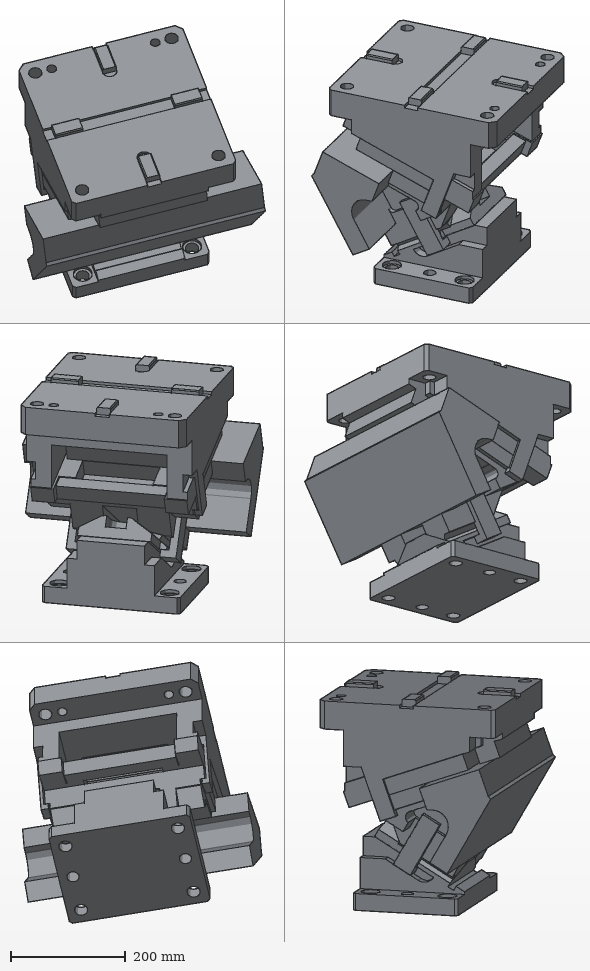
import cadquery as cq
import math


RAIL_ANGLE = 20
CAM_ANGLE = -30
RAIL_ORIGIN = (99.0, 202.0)
CAM_ORIGIN = (77.5, 121.0)
FAR = 320

PLATE_LENGTH = 320
PLATE_WIDTH = 300
PLATE_TOP = 374.0
PLATE_THICKNESS = 50.0
PLATE_BOTTOM = PLATE_TOP - PLATE_THICKNESS
PLATE_FRONT_CHAMFER = 11.0
PLATE_REAR_CHAMFER = 6.0
BOLT_INSET = 25.0
BOLT_HALF_SPACING = 125.0
BOLT_DIAMETER = 23.0
PIN_HALF_SPACING = 95.0
PIN_DIAMETER = 16.5

KEY_WIDTH = 25.0
KEY_LENGTH = 49.5
KEY_RISE = 8
KEY_SLOT_DEPTH = 5.0
KEY_CHAMFER = 2.0
CROSS_SLOT_X = PLATE_LENGTH / 2
SIDE_KEY_Y = 109.0
END_KEY_X = 35.0
END_SLOT_LENGTH = 73.0

CHEEK_HALF = PLATE_WIDTH / 2
CHEEK_FRONT = 45.5
CHEEK_REAR = 275.0
CHANNEL_HALF = 104.5
CHANNEL_CEILING = 293.5
GROOVE_HALF = 133.5
GROOVE_TOP = 260
RIDGE_HEIGHT = 43.0
LEG_LENGTH = 30.0
LEG_BOTTOM = -39.0
LEG_INNER_HALF = 144.5
CLAW_INNER_HALF = 137.0

RAIL_HEIGHT = 30.0
RAIL_START = -49.0
RAIL_END = 181.5
RAIL_INNER_HALF = 100.5
RAIL_OUTER_HALF = 141.5
CROSSBAR_START = -37.0
CROSSBAR_LENGTH = 25.5
CROSSBAR_HEIGHT = 28
CROSSBAR_HALF = 99.0
WINDOW_END = 37.5
WINDOW_HALF = 70.0
BLOCK_START = 39.0
BLOCK_HEIGHT = 53.0
BLOCK_HALF = 98.5
BLOCK_CHAMFER = 24
STOP_START = 191.0
STOP_END = 229.5
STOP_HALF = BLOCK_HALF
REAR_WALL_X = 284.5
REAR_WALL_HALF = 112

FLANGE_THICKNESS = 28
SHOULDER_HALF = GROOVE_HALF
SHOULDER_BOTTOM = 57.5
SHOULDER_END = 49.0
CORE_HALF = 89.5
CORE_BOTTOM = 22.5
GUIDE_END = 158.5
WING_HALF = 200
WING_START = 105.5
WING_END = 221.0
WING_EDGE_DROP = 49.5
WING_FACE = 164.5
WING_TIP_HEIGHT = 216.5
WING_BOTTOM = 57.0
KEY_SLOT_HALF = 31.0
LIP_START = 43.0
LIP_FOOT_HALF = 69.5
LIP_TOP_HALF = 75.0
LIP_ROOT_HALF = 48

HOLLOW_END = 128
HOLLOW_TOP = -39.0
HOLLOW_FLOOR = 77.0
HOLLOW_FLOOR_HALF = 80
HOLLOW_NOSE_RADIUS = 10.5
HOLLOW_ARC_RADIUS = 28
HOLLOW_ARC_HEIGHT = 117.5
HOLLOW_CORNER_RADIUS = 8

CLAMP_START = 58.5
CLAMP_END = 94.0
CLAMP_TOP = 93.0
CLAMP_BOTTOM = -13.5
CLAMP_INNER_HALF = 85.0
CLAMP_OUTER_HALF = 99.5
CLAMP_CLAW_HALF = 70.5

BASE_FRONT = 55.0
BASE_LENGTH = 190.0
BASE_WIDTH = 250.5
BASE_THICKNESS = 30.0
BASE_CHAMFER = 5.0
BASE_BOLT_INSET = 25.0
BASE_BOLT_DIAMETER = 23.0
BASE_COUNTERBORE_DIAMETER = 33.0
BASE_COUNTERBORE_DEPTH = 6.0
BASE_PIN_X = 147.0
BASE_PIN_DIAMETER = 21.0
BODY_TOP = 119.5
BODY_HALF = 79.0
NECK_HALF = 61.0
SHELF_HEIGHT = 85.0
SHELF_DROP = 19.5
SHELF_ROUND_CENTER = 108
NOTCH_WIDTH = 12
RIB_HEIGHT = 9.0

ROOF_TOP = 39.0
ROOF_TOP_HALF = 26.5
ROOF_SLOPE = 0.6
NARROW_GUIDE_HALF = 66.5
NARROW_GUIDE_END = 64
GUIDE_GROOVE_HALF = 19.0
GUIDE_GROOVE_DEPTH = 20
GUIDE_GROOVE_STRAIGHT = 26.5


def tilted_point(origin, angle, along, height):
    cosine = math.cos(math.radians(angle))
    sine = math.sin(math.radians(angle))
    return (origin[0] + along * cosine - height * sine, origin[1] + along * sine + height * cosine)


def rail_point(along, height):
    """X and Z of a point measured along and above the rail plane."""
    return tilted_point(RAIL_ORIGIN, RAIL_ANGLE, along, height)


def cam_point(along, height):
    """X and Z of a point measured along and above the underside of the cam guide."""
    return tilted_point(CAM_ORIGIN, CAM_ANGLE, along, height)


def rail_height_at(x):
    """Z of the underside of the cheeks, on the tilted rail top, at the given X."""
    start_x, start_z = rail_point(0, RAIL_HEIGHT)
    return start_z + (x - start_x) * math.tan(math.radians(RAIL_ANGLE))


def rail_along_at(height, z):
    """Distance along the rail where a line at the given height above it reaches the level z."""
    return (z - rail_point(0, height)[1]) / math.sin(math.radians(RAIL_ANGLE))


def cam_along_at(height, z):
    """Distance along the guide where a line at the given height above it reaches the level z."""
    return (z - cam_point(0, height)[1]) / math.sin(math.radians(CAM_ANGLE))


def across(outline, half_width):
    """Extrude an outline in the XZ plane to both sides of Y = 0."""
    return outline.extrude(half_width, both=True)


def prism(points, half_width):
    return across(cq.Workplane("XZ").polyline(points).close(), half_width)


def tilted_box(point, along, heights, half_width):
    corners = [(along[0], heights[0]), (along[1], heights[0]), (along[1], heights[1]), (along[0], heights[1])]
    return prism([point(*corner) for corner in corners], half_width)


def rail_box(along, heights, half_width):
    return tilted_box(rail_point, along, heights, half_width)


def cam_box(along, heights, half_width):
    return tilted_box(cam_point, along, heights, half_width)


def outside(shape, half_width):
    """The part of a shape that lies further than half_width from Y = 0."""
    return shape.cut(cq.Workplane("XY").box(4 * FAR, 2 * half_width, 4 * FAR))


def cam_section(points, start, end):
    """Extrude a (Y, height) section along the cam guide."""
    x, z = cam_point(start, 0)
    sine = math.sin(math.radians(CAM_ANGLE))
    cosine = math.cos(math.radians(CAM_ANGLE))
    plane = cq.Plane(origin=(x, 0, z), xDir=(0, 1, 0), normal=(cosine, 0, sine))
    return cq.Workplane(plane).polyline(points).close().extrude(end - start)


def roof_height(half_width):
    return ROOF_TOP - ROOF_SLOPE * (half_width - ROOF_TOP_HALF)


def roof_guide(start, end):
    """The V guide with its sides down to the cam plane."""
    right_half = [(BODY_HALF, 0), (BODY_HALF, roof_height(BODY_HALF)), (ROOF_TOP_HALF, ROOF_TOP)]
    left_half = [(-y, height) for y, height in reversed(right_half)]
    return cam_section(right_half + left_half, start, end)


def mounting_plate():
    plate = (
        cq.Workplane("XY", origin=(PLATE_LENGTH / 2, 0, PLATE_BOTTOM))
        .rect(PLATE_LENGTH, PLATE_WIDTH)
        .extrude(PLATE_THICKNESS)
    )
    plate = plate.edges("|Z and <X").chamfer(PLATE_FRONT_CHAMFER)
    return plate.edges("|Z and >X").chamfer(PLATE_REAR_CHAMFER)


def cheeks():
    block = prism(
        [
            (CHEEK_FRONT, PLATE_BOTTOM),
            (CHEEK_FRONT, rail_height_at(CHEEK_FRONT)),
            (CHEEK_REAR, rail_height_at(CHEEK_REAR)),
            (CHEEK_REAR, PLATE_BOTTOM),
        ],
        CHEEK_HALF,
    )
    below_groove_top = cq.Workplane("XY").box(4 * FAR, 4 * FAR, GROOVE_TOP, centered=(True, True, False))
    groove = rail_box((-FAR, 0), (RIDGE_HEIGHT, FAR), CHEEK_HALF).intersect(below_groove_top)
    ridge_side = rail_box((-FAR, 0), (0, RIDGE_HEIGHT), CHEEK_HALF)
    return block.cut(outside(groove, GROOVE_HALF)).cut(outside(ridge_side, RAIL_OUTER_HALF))


def channel():
    """Space between the cheeks, from its level ceiling down to the rail plate."""
    ceiling_end = rail_along_at(RAIL_HEIGHT, CHANNEL_CEILING)
    return prism(
        [
            (0, CHANNEL_CEILING),
            rail_point(ceiling_end, RAIL_HEIGHT),
            rail_point(RAIL_START, RAIL_HEIGHT),
            (0, 0),
        ],
        CHANNEL_HALF,
    )


def rail_plate():
    """Plate the slide runs on: two rails joined by a slightly lower crossbar, with a window behind it."""
    crossbar_end = CROSSBAR_START + CROSSBAR_LENGTH
    plate = rail_box((RAIL_START, RAIL_END), (0, RAIL_HEIGHT), RAIL_OUTER_HALF)
    front_opening = rail_box((RAIL_START, crossbar_end), (0, RAIL_HEIGHT), RAIL_INNER_HALF)
    crossbar = rail_box((CROSSBAR_START, crossbar_end), (0, CROSSBAR_HEIGHT), CROSSBAR_HALF)
    window = rail_box((crossbar_end, WINDOW_END), (0, RAIL_HEIGHT), WINDOW_HALF)
    return plate.cut(front_opening).union(crossbar).cut(window)


def inner_block():
    """Block between the cheeks, on the rail plate, with its long top edges chamfered."""
    length = RAIL_END - BLOCK_START
    block = cq.Workplane("XY").box(length, 2 * BLOCK_HALF, BLOCK_HEIGHT, centered=(False, True, False))
    block = block.faces(">Z").edges("|X").chamfer(BLOCK_CHAMFER)
    x, z = rail_point(BLOCK_START, RAIL_HEIGHT)
    return block.rotate((0, 0, 0), (0, 1, 0), -RAIL_ANGLE).translate((x, 0, z))


def legs():
    """Legs that reach down past the rails, with claws under the flange of the slide."""
    leg = rail_box((0, LEG_LENGTH), (LEG_BOTTOM, RIDGE_HEIGHT), CHEEK_HALF)
    claw = rail_box((0, LEG_LENGTH), (LEG_BOTTOM, -FLANGE_THICKNESS), CHEEK_HALF)
    return outside(leg, LEG_INNER_HALF).union(outside(claw, CLAW_INNER_HALF))


def leg_gaps():
    """Narrow gaps between the legs and the rails."""
    gap = rail_box((0, LEG_LENGTH), (0, RIDGE_HEIGHT), LEG_INNER_HALF)
    return outside(gap, RAIL_OUTER_HALF)


def end_stop():
    stop = prism(
        [
            rail_point(STOP_START, 0),
            rail_point(STOP_END, 0),
            rail_point(STOP_END, RAIL_HEIGHT),
            (PLATE_LENGTH, rail_height_at(PLATE_LENGTH)),
            (PLATE_LENGTH, PLATE_BOTTOM),
            (CHEEK_REAR, PLATE_BOTTOM),
            rail_point(STOP_START, RAIL_HEIGHT),
        ],
        STOP_HALF,
    )
    rear_wall = prism(
        [
            (CHEEK_REAR, rail_height_at(CHEEK_REAR)),
            (REAR_WALL_X, rail_height_at(REAR_WALL_X)),
            (REAR_WALL_X, PLATE_BOTTOM),
            (CHEEK_REAR, PLATE_BOTTOM),
        ],
        REAR_WALL_HALF,
    )
    return stop.union(rear_wall)


def plate_holes():
    rear_x = PLATE_LENGTH - BOLT_INSET
    bolts = [(x, y) for x in (BOLT_INSET, rear_x) for y in (-BOLT_HALF_SPACING, BOLT_HALF_SPACING)]
    pins = [(BOLT_INSET, y) for y in (-PIN_HALF_SPACING, PIN_HALF_SPACING)]
    top = cq.Workplane("XY", origin=(0, 0, PLATE_TOP))
    bolt_holes = top.pushPoints(bolts).circle(BOLT_DIAMETER / 2).extrude(-PLATE_THICKNESS)
    pin_holes = top.pushPoints(pins).circle(PIN_DIAMETER / 2).extrude(-PLATE_THICKNESS)
    return bolt_holes.union(pin_holes)


def key_slots():
    floor = cq.Workplane("XY", origin=(0, 0, PLATE_TOP - KEY_SLOT_DEPTH))
    slots = floor.center(CROSS_SLOT_X, 0).rect(KEY_WIDTH, PLATE_WIDTH).extrude(KEY_SLOT_DEPTH)
    for end_x in (0, PLATE_LENGTH):
        slots = slots.union(
            floor.center(end_x, 0).slot2D(2 * END_SLOT_LENGTH, KEY_WIDTH).extrude(KEY_SLOT_DEPTH)
        )
    return slots


def key(x, y, turn):
    """A key standing in its slot, with the long top edges chamfered."""
    bar = cq.Workplane("XY").box(
        KEY_LENGTH, KEY_WIDTH, KEY_SLOT_DEPTH + KEY_RISE, centered=(True, True, False)
    )
    bar = bar.faces(">Z").edges("|X").chamfer(KEY_CHAMFER)
    return bar.rotate((0, 0, 0), (0, 0, 1), turn).translate((x, y, PLATE_TOP - KEY_SLOT_DEPTH))


def build_holder():
    holder = mounting_plate().union(cheeks()).cut(channel())
    holder = holder.union(rail_plate()).union(inner_block())
    holder = holder.cut(leg_gaps()).union(legs()).union(end_stop())
    holder = holder.cut(plate_holes()).cut(key_slots())
    for y in (-SIDE_KEY_Y, SIDE_KEY_Y):
        holder = holder.union(key(CROSS_SLOT_X, y, 90))
    for x in (END_KEY_X, PLATE_LENGTH - END_KEY_X):
        holder = holder.union(key(x, 0, 0))
    return holder


def wings():
    """The working block, wider than the rest of the slide."""
    return prism(
        [
            rail_point(WING_START, 0),
            rail_point(WING_END, 0),
            rail_point(WING_END, -WING_EDGE_DROP),
            cam_point(WING_FACE, WING_TIP_HEIGHT),
            cam_point(WING_FACE, WING_BOTTOM),
            cam_point(HOLLOW_END, WING_BOTTOM),
            cam_point(HOLLOW_END, HOLLOW_ARC_HEIGHT),
            rail_point(WING_START, HOLLOW_TOP),
        ],
        WING_HALF,
    )


def shoulders():
    """Upper body under the rails, its flange, and the jaw that hangs at its front end."""
    body = rail_box((0, WING_START), (HOLLOW_TOP, 0), SHOULDER_HALF)
    flange = rail_box((0, WING_START), (-FLANGE_THICKNESS, 0), RAIL_OUTER_HALF)
    jaw = rail_box((0, WING_START), (-FAR, 0), SHOULDER_HALF).intersect(
        cam_box((-FAR, SHOULDER_END), (SHOULDER_BOTTOM, FAR), SHOULDER_HALF)
    )
    return body.union(flange).union(jaw)


def core():
    return rail_box((0, WING_END), (-FAR, 0), CORE_HALF).intersect(
        cam_box((-FAR, GUIDE_END), (CORE_BOTTOM, FAR), CORE_HALF)
    )


def hollow(half_width):
    """Rounded hollow, closed along its lower side by a line parallel to the cam guide."""
    nose = cam_point(SHOULDER_END, HOLLOW_FLOOR + HOLLOW_NOSE_RADIUS)
    arc_along = HOLLOW_END - HOLLOW_ARC_RADIUS
    arc_x, arc_z = cam_point(arc_along, HOLLOW_ARC_HEIGHT)
    arc_top = (arc_x, arc_z + HOLLOW_ARC_RADIUS)
    turn = math.radians((90 + CAM_ANGLE) / 2)
    arc_middle = (
        arc_x + HOLLOW_ARC_RADIUS * math.sin(turn),
        arc_z + HOLLOW_ARC_RADIUS * math.cos(turn),
    )
    nose_tilt = math.radians(RAIL_ANGLE)
    nose_top = (
        nose[0] - HOLLOW_NOSE_RADIUS * math.sin(nose_tilt),
        nose[1] + HOLLOW_NOSE_RADIUS * math.cos(nose_tilt),
    )
    corner_start = cam_point(HOLLOW_END, HOLLOW_FLOOR + HOLLOW_CORNER_RADIUS)
    corner_end = cam_point(HOLLOW_END - HOLLOW_CORNER_RADIUS, HOLLOW_FLOOR)
    outline = (
        cq.Workplane("XZ")
        .moveTo(*nose_top)
        .lineTo(*rail_point(WING_START, HOLLOW_TOP))
        .lineTo(*arc_top)
        .threePointArc(arc_middle, cam_point(HOLLOW_END, HOLLOW_ARC_HEIGHT))
        .lineTo(*corner_start)
        .radiusArc(corner_end, HOLLOW_CORNER_RADIUS)
        .lineTo(*cam_point(SHOULDER_END, HOLLOW_FLOOR))
        .threePointArc((nose[0] - HOLLOW_NOSE_RADIUS, nose[1]), nose_top)
        .close()
    )
    return across(outline, half_width)


def flank_opening():
    """Opening below the hollow, between the jaw and the wing."""
    nose_level = HOLLOW_FLOOR + HOLLOW_NOSE_RADIUS
    opening = cam_box((SHOULDER_END, HOLLOW_END), (0, nose_level), WING_HALF)
    return outside(opening.union(hollow(WING_HALF)), CORE_HALF)


def lips():
    """Lips that lengthen the V faces of the slide down the guide."""
    right = [
        (LIP_ROOT_HALF, roof_height(LIP_ROOT_HALF)),
        (LIP_FOOT_HALF, roof_height(LIP_FOOT_HALF)),
        (LIP_TOP_HALF, CORE_BOTTOM),
    ]
    left = [(-y, height) for y, height in right]
    return cam_section(right, LIP_START, GUIDE_END).union(cam_section(left, LIP_START, GUIDE_END))


def clamps():
    """Side clamps with claws that hook under the cam guide."""
    web = cam_box((CLAMP_START, CLAMP_END), (CLAMP_BOTTOM, CLAMP_TOP), CLAMP_OUTER_HALF)
    upper = cam_box((CLAMP_START, CLAMP_END), (CORE_BOTTOM, CLAMP_TOP), CORE_HALF)
    claw = cam_box((CLAMP_START, CLAMP_END), (CLAMP_BOTTOM, 0), CLAMP_OUTER_HALF)
    return outside(web, CLAMP_INNER_HALF).cut(upper).union(outside(claw, CLAMP_CLAW_HALF))


def build_slide():
    slide = wings().union(shoulders()).cut(flank_opening()).union(core())
    slide = slide.cut(outside(hollow(CORE_HALF), HOLLOW_FLOOR_HALF))
    slide = slide.union(lips()).cut(roof_guide(0, FAR))
    slide = slide.cut(cam_box((-FAR, GUIDE_END), (0, SHOULDER_BOTTOM), KEY_SLOT_HALF))
    return slide.union(clamps())


def base_plate():
    plate = (
        cq.Workplane("XY", origin=(BASE_FRONT + BASE_LENGTH / 2, 0, 0))
        .rect(BASE_LENGTH, BASE_WIDTH)
        .extrude(BASE_THICKNESS)
        .edges("|Z")
        .chamfer(BASE_CHAMFER)
    )
    spacing_x = BASE_LENGTH - 2 * BASE_BOLT_INSET
    spacing_y = BASE_WIDTH - 2 * BASE_BOLT_INSET
    middle = BASE_FRONT + BASE_LENGTH / 2
    bolt_face = plate.faces(">Z").workplane(origin=(middle, 0, BASE_THICKNESS))
    plate = bolt_face.rarray(spacing_x, spacing_y, 2, 2).cboreHole(
        BASE_BOLT_DIAMETER, BASE_COUNTERBORE_DIAMETER, BASE_COUNTERBORE_DEPTH
    )
    pin_face = plate.faces(">Z").workplane(origin=(BASE_PIN_X, 0, BASE_THICKNESS))
    return pin_face.rarray(4, spacing_y, 1, 2).hole(BASE_PIN_DIAMETER)


def driver_body():
    """Wedge under the guide, ending in a low rib behind a notch."""
    rear = BASE_FRONT + BASE_LENGTH
    rib_start = GUIDE_END + NOTCH_WIDTH
    rib_x, rib_z = cam_point(rib_start, RIB_HEIGHT)
    rib_rear_z = rib_z + (rear - rib_x) * math.tan(math.radians(CAM_ANGLE))
    return prism(
        [
            (BASE_FRONT, 0),
            (BASE_FRONT, BODY_TOP),
            cam_point(cam_along_at(0, BODY_TOP), 0),
            cam_point(rib_start, 0),
            (rib_x, rib_z),
            (rear, rib_rear_z),
            (rear, 0),
        ],
        BODY_HALF,
    )


def neck_relief():
    """Space beside the neck: a level shelf that turns down along the guide to a round end."""
    round_end = SHELF_ROUND_CENTER + SHELF_DROP
    diagonal = SHELF_DROP * math.sqrt(0.5)
    outline = (
        cq.Workplane("XZ")
        .moveTo(0, SHELF_HEIGHT)
        .lineTo(*cam_point(cam_along_at(-SHELF_DROP, SHELF_HEIGHT), -SHELF_DROP))
        .lineTo(*cam_point(SHELF_ROUND_CENTER, -SHELF_DROP))
        .threePointArc(cam_point(SHELF_ROUND_CENTER + diagonal, -diagonal), cam_point(round_end, 0))
        .lineTo(*cam_point(0, 0))
        .lineTo(0, CAM_ORIGIN[1])
        .close()
    )
    return outside(across(outline, BODY_HALF), NECK_HALF)


def guide():
    narrow_side = outside(cam_box((0, NARROW_GUIDE_END), (0, ROOF_TOP), BODY_HALF), NARROW_GUIDE_HALF)
    floor = ROOF_TOP - GUIDE_GROOVE_DEPTH
    x, z = cam_point(GUIDE_GROOVE_STRAIGHT, floor)
    groove_end = (
        cq.Workplane("XY")
        .circle(GUIDE_GROOVE_HALF)
        .extrude(GUIDE_GROOVE_DEPTH)
        .rotate((0, 0, 0), (0, 1, 0), -CAM_ANGLE)
        .translate((x, 0, z))
    )
    groove = cam_box((0, GUIDE_GROOVE_STRAIGHT), (floor, ROOF_TOP), GUIDE_GROOVE_HALF)
    return roof_guide(0, GUIDE_END).cut(narrow_side).cut(groove.union(groove_end))


def build_driver():
    return driver_body().cut(neck_relief()).union(base_plate()).union(guide())


holder = build_holder()
slide = build_slide()
driver = build_driver()

result = cq.Compound.makeCompound([holder.val(), slide.val(), driver.val()])